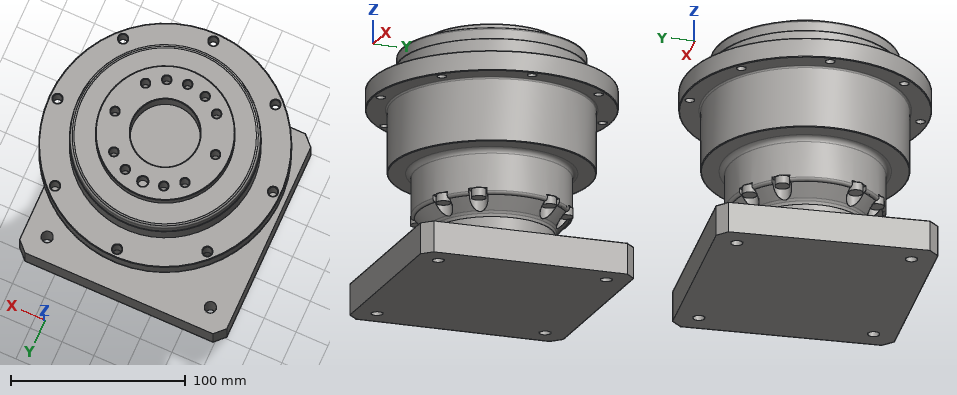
import cadquery as cq
import math

overall_height = 151.5
plate_top = 18.6
root_bottom = 36.2
root_middle = 38.0
cone_bottom = 39.5
cone_top = 47.0
body_bottom = 74.2
flange_bottom = 112.5
flange_top = 124.5
pilot_top = 137.5
cap_top = 145.0

shaft_radius = 36.5
root_middle_radius = 37.1
cone_bottom_radius = 38.0
cone_top_radius = 44.4
neck_radius = 46.4
body_radius = 60.0
flange_diameter = 145.0
flange_radius = flange_diameter / 2
pilot_radius = 55.0
cap_radius = 54.5
hub_radius = 40.0

edge_break = 0.5
cap_rim_width = 1.2
cap_fillet = 1.14
cap_slope_width = 1.0
cap_slope_drop = 0.5
flange_root_fillet = 0.9
neck_root_fillet = 3.0
neck_corner_fillet = 1.8

plate_side = 130.0
plate_corner_chamfer = 6.0
plate_hole_offset = 51.2
plate_hole_diameter = 6.8

flange_hole_count = 8
flange_hole_circle_radius = 67.5
flange_hole_diameter = 5.5

bore_radius = 20.1
bore_depth = 12.0
hub_hole_circle_radius = 31.5
hub_hole_angles = (0, 45, 67.5, 112.5, 135, 180, 225, 247.5, 270, 292.5, 315)
hub_hole_diameter = 5.0
hub_hole_depth = 12.1
drill_tip_angle = 118
pin_hole_angle = 90
pin_hole_diameter = 6.0
pin_hole_depth = 9.1

screw_angles = (30, 60, 120, 150, 210, 240, 300, 330)
screw_circle_radius = 43.0
pocket_radius = 5.3
pocket_ceiling = 50.6
pocket_bottom = root_middle
screw_head_radius = 4.2
screw_head_height = 5.0


def at_polar(shape, radius, angle):
    """Move a shape out along X, then turn it about the Z axis."""
    return shape.translate((radius, 0, 0)).rotate((0, 0, 0), (0, 0, 1), angle)


def cylinder(radius, bottom, top):
    return cq.Workplane("XY").workplane(offset=bottom).circle(radius).extrude(top - bottom)


def ring_edges(body, radius, height):
    """Select the circular edge with the given radius and height about the Z axis."""
    margin = 0.08
    outer = cq.selectors.BoxSelector(
        (-radius - margin, -radius - margin, height - margin),
        (radius + margin, radius + margin, height + margin),
        boundingbox=True,
    )
    inner_reach = radius - margin
    inner = cq.selectors.BoxSelector(
        (-inner_reach, -inner_reach, height - margin),
        (inner_reach, inner_reach, height + margin),
        boundingbox=True,
    )
    return body.edges(outer - inner)


def turned_body():
    profile = [
        (0, 0),
        (shaft_radius, 0),
        (shaft_radius, root_bottom),
        (root_middle_radius, root_middle),
        (cone_bottom_radius, cone_bottom),
        (cone_top_radius, cone_top),
        (neck_radius, cone_top),
        (neck_radius, body_bottom),
        (body_radius, body_bottom),
        (body_radius, flange_bottom),
        (flange_radius, flange_bottom),
        (flange_radius, flange_top),
        (pilot_radius, flange_top),
        (pilot_radius, pilot_top),
        (cap_radius, pilot_top),
        (cap_radius, cap_top - cap_slope_drop),
        (cap_radius - cap_rim_width, cap_top - cap_slope_drop),
        (cap_radius - cap_rim_width - cap_slope_width, cap_top),
        (hub_radius, cap_top),
        (hub_radius, overall_height),
        (0, overall_height),
    ]
    body = cq.Workplane("XZ").polyline(profile).close().revolve(360, (0, 0, 0), (0, 1, 0))
    fillets = (
        (neck_radius, cone_top, neck_corner_fillet),
        (neck_radius, body_bottom, neck_root_fillet),
        (body_radius, flange_bottom, flange_root_fillet),
        (cap_radius, cap_top - cap_slope_drop, cap_fillet),
    )
    for radius, height, fillet in fillets:
        body = ring_edges(body, radius, height).fillet(fillet)
    broken_edges = (
        (body_radius, body_bottom),
        (flange_radius, flange_bottom),
        (flange_radius, flange_top),
        (hub_radius, overall_height),
    )
    for radius, height in broken_edges:
        body = ring_edges(body, radius, height).chamfer(edge_break)
    return body


def mounting_plate():
    plate = (
        cq.Workplane("XY")
        .rect(plate_side, plate_side)
        .extrude(plate_top)
        .edges("|Z")
        .chamfer(plate_corner_chamfer)
    )
    return (
        plate.faces(">Z")
        .workplane()
        .rect(2 * plate_hole_offset, 2 * plate_hole_offset, forConstruction=True)
        .vertices()
        .hole(plate_hole_diameter)
    )


def hole_cutter(radius, depth, top, tip_height=0.0):
    """Hole with a broken rim at its top and an optional drill tip below its depth."""
    profile = [
        (0, top),
        (radius + edge_break, top),
        (radius, top - edge_break),
        (radius, top - depth),
        (0, top - depth - tip_height),
    ]
    return cq.Workplane("XZ").polyline(profile).close().revolve(360, (0, 0, 0), (0, 1, 0))


def cut_flange_holes(body):
    radius = flange_hole_diameter / 2
    cutter = hole_cutter(radius, flange_top - flange_bottom, flange_top)
    for index in range(flange_hole_count):
        angle = index * 360 / flange_hole_count
        body = body.cut(at_polar(cutter, flange_hole_circle_radius, angle))
    return body


def cut_hub(body):
    body = body.cut(hole_cutter(bore_radius, bore_depth, overall_height))
    radius = hub_hole_diameter / 2
    tip_height = radius / math.tan(math.radians(drill_tip_angle / 2))
    threaded = hole_cutter(radius, hub_hole_depth, overall_height, tip_height)
    for angle in hub_hole_angles:
        body = body.cut(at_polar(threaded, hub_hole_circle_radius, angle))
    pin = hole_cutter(pin_hole_diameter / 2, pin_hole_depth, overall_height)
    return body.cut(at_polar(pin, hub_hole_circle_radius, pin_hole_angle))


def add_screws(body):
    """Cut round-ended pockets open to the outside, each holding a screw head."""
    slot_length = neck_radius
    pocket_height = pocket_ceiling - pocket_bottom
    slot = (
        cq.Workplane("XY")
        .box(slot_length, 2 * pocket_radius, pocket_height, centered=(False, True, False))
        .translate((0, 0, pocket_bottom))
    )
    pocket = cylinder(pocket_radius, pocket_bottom, pocket_ceiling).union(slot)
    head = cylinder(screw_head_radius, pocket_ceiling - screw_head_height, pocket_ceiling)
    for angle in screw_angles:
        body = body.cut(at_polar(pocket, screw_circle_radius, angle))
        body = body.union(at_polar(head, screw_circle_radius, angle))
    return body


body = turned_body()
body = cut_flange_holes(body)
body = cut_hub(body)
body = add_screws(body)
result = body.union(mounting_plate())